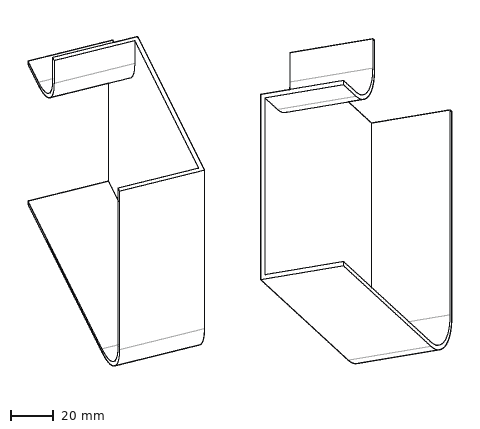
import cadquery as cq

wall = 2.2
channel_width = 90.0
channel_depth = 40.0
leg_length = 35.0
inner_bend_radius = 20.0
outer_bend_radius = 25.0

size = leg_length + channel_width + 2 * wall
total_depth = channel_depth + wall


def elbow_prism(inset, back_y, depth):
    """L-shaped prism running from back_y toward -Y, with its side faces moved inward by inset.

    The two open ends, at X = 0 and Z = size, are not moved.
    """
    notch = leg_length + inset
    far = size - inset
    outline = [
        (0, inset),
        (far, inset),
        (far, size),
        (notch, size),
        (notch, size - notch),
        (0, size - notch),
    ]
    prism = (
        cq.Workplane("XZ", origin=(0, back_y, 0))
        .polyline(outline)
        .close()
        .extrude(depth)
    )
    inner_corner = cq.selectors.NearestToPointSelector((notch, back_y - depth / 2, size - notch))
    outer_corner = cq.selectors.NearestToPointSelector((far, back_y - depth / 2, inset))
    prism = prism.edges("|Y").edges(inner_corner).fillet(inner_bend_radius + inset)
    return prism.edges("|Y").edges(outer_corner).fillet(outer_bend_radius - inset)


body = elbow_prism(0, total_depth, total_depth)
channel = elbow_prism(wall, channel_depth, channel_depth)
result = body.cut(channel)